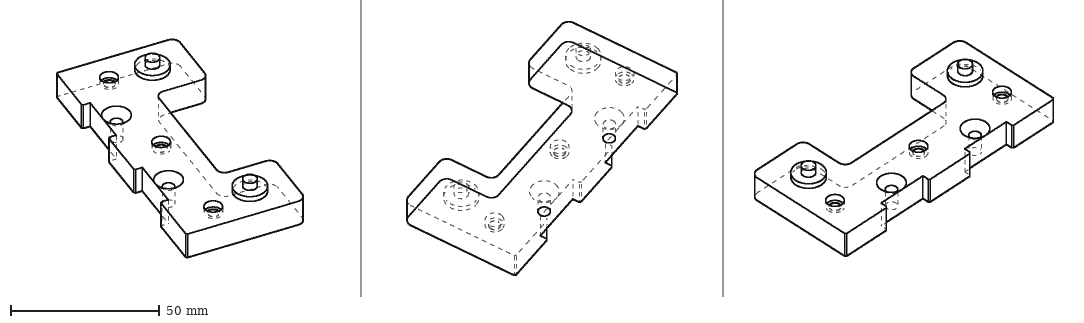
import cadquery as cq
import math

length = 100.0
depth = 45.0
thickness = 10.0
arm_width = 25.0
bridge_depth = 25.0
corner_radius = 3.0

notch_width = length / 5
notch_depth = 3.0
notch_spacing = 2 * notch_width
pad_chamfer = 0.5

pin_x = length / 2 - arm_width / 2
pin_y = 30.0
collar_diameter = 12.0
collar_height = 2.0
pin_diameter = 5.0
pin_height = 3.0

bore_spacing = 40.0
bore_y = 15.0
bore_diameter = 6.3
bore_depth = 2.6
pilot_diameter = 4.0
pilot_depth = 2.8

screw_y = 8.0
screw_diameter = 4.2
sink_diameter = 10.0
sink_angle = 90.0

notch_centres = [side * notch_spacing / 2 for side in (-1, 1)]


def make_plate():
    plate = cq.Workplane("XY").box(length, depth, thickness, centered=(True, False, False))
    opening = (
        cq.Workplane("XY")
        .center(0, bridge_depth)
        .box(length - 2 * arm_width, depth - bridge_depth, thickness, centered=(True, False, False))
    )
    behind_front = cq.selectors.BoxSelector(
        (-length, bridge_depth / 2, -thickness), (length, 2 * depth, 2 * thickness)
    )
    plate = plate.cut(opening).edges("|Z").edges(behind_front).fillet(corner_radius)

    notches = (
        cq.Workplane("XY")
        .pushPoints([(x, notch_depth / 2) for x in notch_centres])
        .rect(notch_width, notch_depth)
        .extrude(thickness)
    )
    plate = plate.cut(notches)
    return plate.faces("<Y").edges("|Z").chamfer(pad_chamfer)


def add_pins(body):
    pin_points = [(side * pin_x, pin_y) for side in (-1, 1)]
    top = cq.Workplane("XY", origin=(0, 0, thickness)).pushPoints(pin_points)
    collars = top.circle(collar_diameter / 2).extrude(collar_height)
    pins = top.circle(pin_diameter / 2).extrude(collar_height + pin_height)
    return body.union(collars).union(pins)


def cut_counterbores(body):
    bore_points = [(step * bore_spacing, bore_y) for step in (-1, 0, 1)]
    top = cq.Workplane("XY", origin=(0, 0, thickness)).pushPoints(bore_points)
    return body.cut(top.circle(bore_diameter / 2).extrude(-bore_depth)).cut(
        top.circle(pilot_diameter / 2).extrude(-pilot_depth)
    )


def cut_countersinks(body):
    screw_points = [(x, screw_y) for x in notch_centres]
    top = cq.Workplane("XY", origin=(0, 0, thickness))
    cutters = top.pushPoints(screw_points).circle(screw_diameter / 2).extrude(-thickness)
    body = body.cut(cutters)
    sink_depth = (sink_diameter - screw_diameter) / 2 / math.tan(math.radians(sink_angle / 2))
    for x, y in screw_points:
        cone = cq.Solid.makeCone(
            screw_diameter / 2,
            sink_diameter / 2,
            sink_depth,
            pnt=cq.Vector(x, y, thickness - sink_depth),
        )
        body = body.cut(cq.Workplane(obj=cone))
    return body


result = cut_countersinks(cut_counterbores(add_pins(make_plate())))